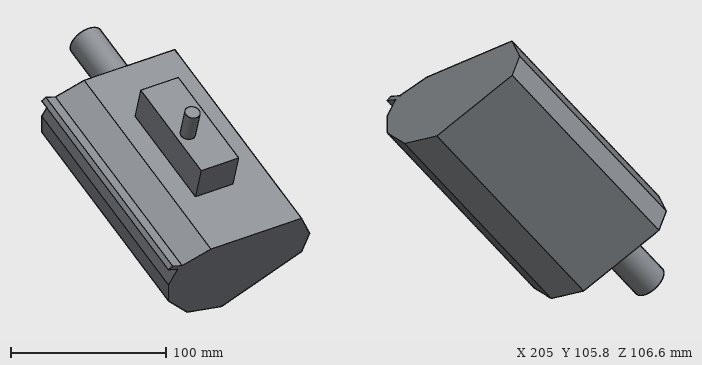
import cadquery as cq
import math

total_length = 205.0
shaft_length = 44.7
shaft_diameter = 23.5
body_length = total_length - shaft_length

roof_tilt = 10.0
ridge_y = -27.7
ridge_z = 25.8
eave_y = 40.2
eave_z = ridge_z - (eave_y - ridge_y) * math.tan(math.radians(roof_tilt))

side_y = -59.5

box_length = 76.5
box_width = 28.5
box_height = 24.8
box_center_x = 123.2
box_from_ridge = 28.7

pin_diameter = 10.0
pin_length = 20.3
pin_offset_x = 6.8
pin_offset_toward_ridge = 5.5

body_outline = [
    (ridge_y, ridge_z),
    (eave_y, eave_z),
    (46.3, -6.0),
    (40.4, -21.1),
    (-19.7, -39.5),
    (-45.5, -28.7),
    (side_y, -7.8),
    (side_y, 9.0),
    (-52.7, 21.0),
    (side_y, 24.8),
    (-56.4, 26.9),
    (-49.2, 22.5),
]


def make_body():
    section = cq.Workplane("YZ", origin=(shaft_length, 0, 0)).polyline(body_outline).close()
    return section.extrude(body_length)


def make_shaft():
    return cq.Workplane("YZ").circle(shaft_diameter / 2).extrude(shaft_length)


def roof_workplane():
    """Plane on the roof: local x along X, local y down the slope from the ridge."""
    tilt = math.radians(roof_tilt)
    return cq.Workplane(cq.Plane(
        origin=(0, ridge_y, ridge_z),
        xDir=(1, 0, 0),
        normal=(0, math.sin(tilt), math.cos(tilt)),
    ))


def make_box():
    base = roof_workplane().center(box_center_x, box_from_ridge).rect(box_length, box_width)
    return base.extrude(box_height)


def make_pin():
    pin_x = box_center_x + pin_offset_x
    pin_y = box_from_ridge - pin_offset_toward_ridge
    base = roof_workplane().workplane(offset=box_height).center(pin_x, pin_y)
    return base.circle(pin_diameter / 2).extrude(pin_length)


result = make_body().union(make_shaft()).union(make_box()).union(make_pin())